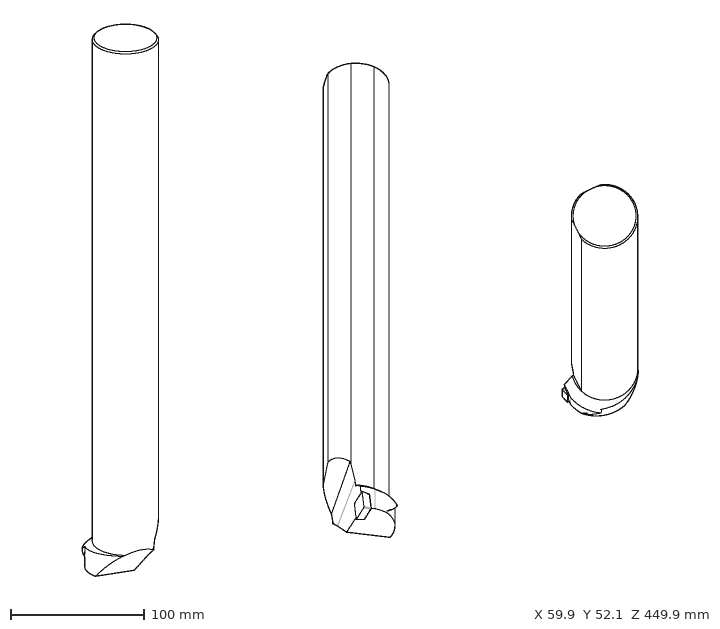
import cadquery as cq

total_length = 450.0
overall_width = 60.0
shank_diameter = 50.0
shank_radius = shank_diameter / 2
flat_distance = 23.5
shank_chamfer = 1.5

head_top = 30.0
head_radius = 33.0
cone_bottom = head_top - (head_radius - shank_radius)
belly_radius = 30.5
belly_center_x = -4.5
belly_center_y = 2.3
nose_flat_x = -32.0

insert_nose_x = shank_radius - overall_width
insert_side = 16.0
insert_lean = 1.0
insert_thickness = 6.5
insert_nose_radius = 1.0
insert_relief_angle = 7.0

rake_point = (insert_nose_x, 1.5, 0)
rake_normal = (-0.15, 1, -0.075)
gullet_point = (-flat_distance, 5.5, 33.8)
gullet_normal = (-0.19, 1, -0.2)
runout_point = (-flat_distance, 9.5, 54)
runout_normal = (-0.44, 1, -0.86)
end_point = (0, 0, 5.0)
end_normal = (0.09, -0.1, -1)
heel_point = (shank_radius, 0, 33.5)
heel_normal = (1.2, 0, -1)
belly_split_point = (-16.5, 0, cone_bottom)
belly_split_normal = (1.5, 0, -1)

block_size = 270.0


def half_space(point, normal):
    """Large block on the side of a plane that the normal points to."""
    plane = cq.Plane(origin=point, normal=normal)
    return cq.Workplane(plane).rect(block_size, block_size).extrude(block_size)


def make_shank():
    """Round shank with one flat on -X and one on +Y."""
    shank = (
        cq.Workplane("XY", origin=(0, 0, head_top))
        .circle(shank_radius)
        .extrude(total_length - head_top)
        .faces(">Z")
        .chamfer(shank_chamfer)
    )
    envelope_side = 4 * shank_radius
    envelope = (
        cq.Workplane("XY", origin=(-flat_distance, flat_distance, 0))
        .rect(envelope_side, -envelope_side, centered=False)
        .extrude(total_length)
    )
    return shank.intersect(envelope)


def make_head():
    """Flared head, wide toward -X and drawn in to the belly cylinder toward +X."""
    round_head = (
        cq.Workplane("XZ")
        .polyline([
            (0, 0),
            (head_radius, 0),
            (head_radius, cone_bottom),
            (shank_radius, head_top),
            (0, head_top),
        ])
        .close()
        .revolve(360, (0, 0, 0), (0, 1, 0))
    )
    belly = (
        cq.Workplane("XY")
        .center(belly_center_x, belly_center_y)
        .circle(belly_radius)
        .extrude(head_top)
    )
    belly_side = half_space(belly_split_point, belly_split_normal)
    head = round_head.cut(belly_side.cut(belly))
    head = head.cut(half_space(end_point, end_normal))
    return head.cut(half_space((nose_flat_x, 0, 0), (-1, 0, 0)))


def make_flute():
    """Chip space above the rake, gullet and runout planes."""
    rake_space = half_space(rake_point, rake_normal)
    gullet_space = half_space(gullet_point, gullet_normal)
    runout_space = half_space(runout_point, runout_normal)
    return rake_space.intersect(gullet_space).intersect(runout_space)


def make_insert():
    """Four-sided plate with relieved flanks and a rounded nose, its top on the rake plane."""
    into_seat = tuple(-component for component in rake_normal)
    along_edge = (rake_normal[1], -rake_normal[0], 0)
    rake_plane = cq.Plane(origin=rake_point, xDir=along_edge, normal=into_seat)
    outline = (
        cq.Sketch()
        .polygon([
            (0, 0),
            (insert_side, insert_lean),
            (insert_side + insert_lean, insert_side + insert_lean),
            (insert_lean, insert_side),
            (0, 0),
        ])
        .vertices("<X")
        .fillet(insert_nose_radius)
    )
    plate = (
        cq.Workplane("XY")
        .placeSketch(outline)
        .extrude(insert_thickness, taper=insert_relief_angle)
    )
    return cq.Workplane(plate.val().moved(rake_plane.location))


insert = make_insert()
holder = make_shank().union(make_head())
holder = holder.cut(half_space(heel_point, heel_normal))
holder = holder.cut(make_flute())
holder = holder.cut(insert)

result = cq.Compound.makeCompound([holder.val(), insert.val()])